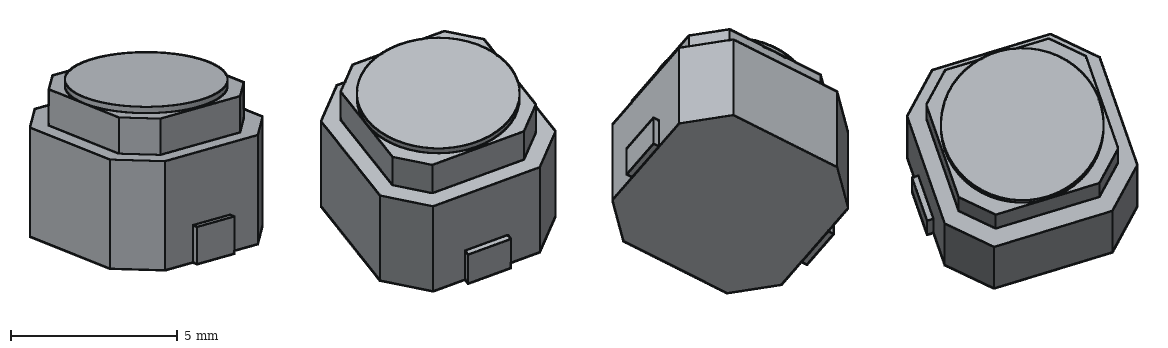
import cadquery as cq

HOUSING_LENGTH = 6.1
HOUSING_WIDTH = 6.0
HOUSING_HEIGHT = 3.49
HOUSING_CHAMFER = 1.175

COLLAR_LENGTH = 5.05
COLLAR_WIDTH = 4.9
COLLAR_CHAMFER = 0.885

DISC_DIAMETER = COLLAR_WIDTH
DISC_THICKNESS = 0.2

OVERALL_LENGTH = 6.5
TERMINAL_WIDTH = 1.46
TERMINAL_HEIGHT = 1.195
TERMINAL_THICKNESS = (OVERALL_LENGTH - HOUSING_LENGTH) / 2

OVERALL_HEIGHT = 4.85
COLLAR_TOP = OVERALL_HEIGHT - DISC_THICKNESS
COLLAR_HEIGHT = COLLAR_TOP - HOUSING_HEIGHT


def octagonal_block(length, width, height, chamfer, bottom):
    """Rectangular block with its four vertical edges chamfered."""
    return (
        cq.Workplane("XY", origin=(0, 0, bottom))
        .box(length, width, height, centered=(True, True, False))
        .edges("|Z")
        .chamfer(chamfer)
    )


def make_housing():
    """Base block, collar and top disc as one solid."""
    base = octagonal_block(HOUSING_LENGTH, HOUSING_WIDTH, HOUSING_HEIGHT, HOUSING_CHAMFER, 0)
    collar = octagonal_block(COLLAR_LENGTH, COLLAR_WIDTH, COLLAR_HEIGHT, COLLAR_CHAMFER, HOUSING_HEIGHT)
    disc = cq.Workplane("XY", origin=(0, 0, COLLAR_TOP)).circle(DISC_DIAMETER / 2).extrude(DISC_THICKNESS)
    return base.union(collar).union(disc)


def make_terminal(side):
    """Plate on the end face of the housing; side is -1 for the -X end and +1 for the +X end."""
    center_x = side * (HOUSING_LENGTH + TERMINAL_THICKNESS) / 2
    return cq.Workplane("XY", origin=(center_x, 0, 0)).box(
        TERMINAL_THICKNESS, TERMINAL_WIDTH, TERMINAL_HEIGHT, centered=(True, True, False)
    )


housing = make_housing()
terminals = [make_terminal(side) for side in (-1, 1)]

result = cq.Compound.makeCompound([housing.val(), *[terminal.val() for terminal in terminals]])